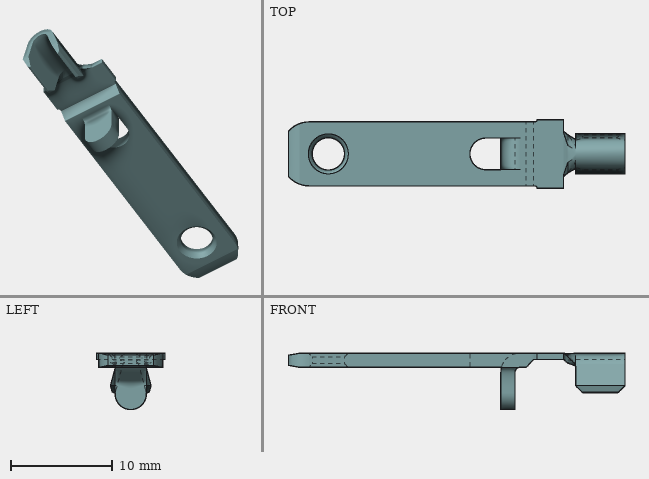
import cadquery as cq
import math


TOTAL_LENGTH = 33.27
BLADE_WIDTH = 6.35
BLADE_THICKNESS = 1.42
BLADE_BOTTOM_END = 23.5
BLADE_BEVEL_RUN = 0.72

NOSE_ARC_LENGTH = 2.06
NOSE_FLAT_WIDTH = 4.45
NOSE_BEVEL_LENGTH = 1.13
NOSE_BEVEL_DEPTH = 0.2

HOLE_X = 3.95
HOLE_DIAMETER = 3.17
COUNTERSINK_DIAMETER = 3.95

TAB_WIDTH = 3.1
TAB_FACE_X = 20.98
TAB_BOTTOM = -5.59
TAB_INNER_BEND = 0.48
WINDOW_START = 17.95

NECK_WIDTH = 6.79
NECK_END = 27.18
SHEET_THICKNESS = 0.64
STEP_X = 24.55
STEP_FILLET = 0.18

BARREL_LENGTH = 4.9
BARREL_HEIGHT = 3.95
BARREL_RADIUS = 1.5
LEG_SPREAD_ANGLE = 15.0
LEG_TIP_HEIGHT = 0.74
LEG_TIP_TAPER = 0.17
LEG_TIP_BEVEL_WIDTH = 0.22
LEG_TIP_BEVEL_HEIGHT = 0.12

TRANSITION_WIDTH = 4.5
TRANSITION_MID_X = 27.6
MID_WIDTH = 3.8
MID_TONGUE_DROP = 0.06
MID_WING_DROP = 0.36
TONGUE_ROOT_WIDTH = 4.2
TONGUE_MID_WIDTH = 1.7
TONGUE_TIP_ANGLE = 25.0

ARCH_END_ANGLE = 90 - LEG_SPREAD_ANGLE
INNER_RADIUS = BARREL_RADIUS - SHEET_THICKNESS
BARREL_START = TOTAL_LENGTH - BARREL_LENGTH


def make_blade():
    """Flat blade with a bevelled rear end, arc-cornered nose and nose bevels."""
    side = (
        cq.Workplane("XZ")
        .moveTo(0, -NOSE_BEVEL_DEPTH)
        .lineTo(NOSE_BEVEL_LENGTH, 0)
        .lineTo(STEP_X, 0)
        .lineTo(STEP_X, -SHEET_THICKNESS)
        .lineTo(BLADE_BOTTOM_END + BLADE_BEVEL_RUN, -SHEET_THICKNESS)
        .lineTo(BLADE_BOTTOM_END, -BLADE_THICKNESS)
        .lineTo(NOSE_BEVEL_LENGTH, -BLADE_THICKNESS)
        .lineTo(0, NOSE_BEVEL_DEPTH - BLADE_THICKNESS)
        .close()
        .extrude(BLADE_WIDTH / 2, both=True)
    )

    half_width = BLADE_WIDTH / 2
    half_flat = NOSE_FLAT_WIDTH / 2
    inset = half_width - half_flat
    radius = (NOSE_ARC_LENGTH**2 + inset**2) / (2 * inset)
    half_angle = math.asin(NOSE_ARC_LENGTH / radius) / 2
    mid_x = NOSE_ARC_LENGTH - radius * math.sin(half_angle)
    mid_y = half_width - radius * (1 - math.cos(half_angle))
    outline = (
        cq.Workplane("XY")
        .moveTo(0, -half_flat)
        .lineTo(0, half_flat)
        .threePointArc((mid_x, mid_y), (NOSE_ARC_LENGTH, half_width))
        .lineTo(STEP_X, half_width)
        .lineTo(STEP_X, -half_width)
        .lineTo(NOSE_ARC_LENGTH, -half_width)
        .threePointArc((mid_x, -mid_y), (0, -half_flat))
        .close()
        .extrude(-BLADE_THICKNESS)
    )
    return side.intersect(outline)


def make_mounting_hole():
    """Through hole with a 45 degree countersink at both faces."""
    hole_radius = HOLE_DIAMETER / 2
    sink_radius = COUNTERSINK_DIAMETER / 2
    sink_depth = sink_radius - hole_radius
    return (
        cq.Workplane("XZ")
        .lineTo(sink_radius, 0)
        .lineTo(hole_radius, -sink_depth)
        .lineTo(hole_radius, sink_depth - BLADE_THICKNESS)
        .lineTo(sink_radius, -BLADE_THICKNESS)
        .lineTo(0, -BLADE_THICKNESS)
        .close()
        .revolve(360, (0, 0, 0), (0, 1, 0))
        .translate((HOLE_X, 0, 0))
    )


def make_window():
    """Window with one rounded end; the tab bend fills its square end."""
    end_radius = TAB_WIDTH / 2
    window_end = TAB_FACE_X + TAB_INNER_BEND + BLADE_THICKNESS
    return (
        cq.Workplane("XY")
        .moveTo(window_end, end_radius)
        .lineTo(WINDOW_START + end_radius, end_radius)
        .threePointArc((WINDOW_START, 0), (WINDOW_START + end_radius, -end_radius))
        .lineTo(window_end, -end_radius)
        .close()
        .extrude(-BLADE_THICKNESS)
    )


def make_tab():
    """Tab bent straight down from the blade, with a fully rounded tip."""
    outer_bend = TAB_INNER_BEND + BLADE_THICKNESS
    bend_x = TAB_FACE_X + outer_bend
    rear_face_x = TAB_FACE_X + BLADE_THICKNESS
    diagonal = math.sqrt(0.5)
    bent_strip = (
        cq.Workplane("XZ")
        .moveTo(bend_x, 0)
        .threePointArc(
            (bend_x - outer_bend * diagonal, -outer_bend * (1 - diagonal)),
            (TAB_FACE_X, -outer_bend),
        )
        .lineTo(TAB_FACE_X, TAB_BOTTOM)
        .lineTo(rear_face_x, TAB_BOTTOM)
        .lineTo(rear_face_x, -outer_bend)
        .threePointArc(
            (bend_x - TAB_INNER_BEND * diagonal, -outer_bend + TAB_INNER_BEND * diagonal),
            (bend_x, -BLADE_THICKNESS),
        )
        .close()
        .extrude(TAB_WIDTH / 2, both=True)
    )
    tip_radius = TAB_WIDTH / 2
    tip_start = TAB_BOTTOM + tip_radius
    outline = (
        cq.Workplane("YZ", origin=(TAB_FACE_X, 0, 0))
        .moveTo(-tip_radius, 0)
        .lineTo(-tip_radius, tip_start)
        .threePointArc((0, TAB_BOTTOM), (tip_radius, tip_start))
        .lineTo(tip_radius, 0)
        .close()
        .extrude(outer_bend)
    )
    return bent_strip.intersect(outline)


def make_neck():
    """Thin neck, slightly wider than the blade."""
    return (
        cq.Workplane("XY")
        .box(NECK_END - STEP_X, NECK_WIDTH, SHEET_THICKNESS, centered=(False, True, False))
        .translate((STEP_X, 0, -SHEET_THICKNESS))
    )


def make_step_fillet(side):
    """Concave fillet in the corner where the neck steps out from the blade."""
    blade_y = side * BLADE_WIDTH / 2
    centre_x = STEP_X - STEP_FILLET
    centre_y = blade_y + side * STEP_FILLET
    diagonal = STEP_FILLET * math.sqrt(0.5)
    return (
        cq.Workplane("XY")
        .moveTo(centre_x, blade_y)
        .threePointArc((centre_x + diagonal, centre_y - side * diagonal), (STEP_X, centre_y))
        .lineTo(STEP_X, blade_y)
        .close()
        .extrude(-SHEET_THICKNESS)
    )


def arch_point(radius, angle):
    """Point (y, z) on the arched back at this angle from its crown, in degrees."""
    turn = math.radians(angle)
    return radius * math.sin(turn), radius * math.cos(turn) - BARREL_RADIUS


def mirrored(point):
    """Mirror a (y, z) section point to the -Y side."""
    return -point[0], point[1]


def make_barrel():
    """Crimp barrel: bent sheet open at the bottom, leg tips cut back at both ends."""
    leg_slope = math.tan(math.radians(LEG_SPREAD_ANGLE))
    hip_z = LEG_TIP_HEIGHT - BARREL_HEIGHT
    shoulder = arch_point(BARREL_RADIUS, ARCH_END_ANGLE)
    hip = (shoulder[0] + (shoulder[1] - hip_z) * leg_slope, hip_z)
    tip_bevel = (hip[0] - LEG_TIP_TAPER, LEG_TIP_BEVEL_HEIGHT - BARREL_HEIGHT)
    tip = (tip_bevel[0] - LEG_TIP_BEVEL_WIDTH, -BARREL_HEIGHT)
    inner_shoulder = arch_point(INNER_RADIUS, ARCH_END_ANGLE)
    inner_tip = (inner_shoulder[0] + (inner_shoulder[1] + BARREL_HEIGHT) * leg_slope, -BARREL_HEIGHT)
    shell = (
        cq.Workplane("YZ", origin=(BARREL_START, 0, 0))
        .moveTo(*shoulder)
        .threePointArc((0, 0), mirrored(shoulder))
        .lineTo(*mirrored(hip))
        .lineTo(*mirrored(tip_bevel))
        .lineTo(*mirrored(tip))
        .lineTo(*mirrored(inner_tip))
        .lineTo(*mirrored(inner_shoulder))
        .threePointArc((0, -SHEET_THICKNESS), inner_shoulder)
        .lineTo(*inner_tip)
        .lineTo(*tip)
        .lineTo(*tip_bevel)
        .lineTo(*hip)
        .close()
        .extrude(BARREL_LENGTH)
    )
    side = (
        cq.Workplane("XZ")
        .moveTo(BARREL_START, 0)
        .lineTo(TOTAL_LENGTH, 0)
        .lineTo(TOTAL_LENGTH, hip_z)
        .lineTo(TOTAL_LENGTH - LEG_TIP_HEIGHT, -BARREL_HEIGHT)
        .lineTo(BARREL_START + LEG_TIP_HEIGHT, -BARREL_HEIGHT)
        .lineTo(BARREL_START, hip_z)
        .close()
        .extrude(hip[0], both=True)
    )
    return shell.intersect(side)


def sheet_section(workplane, top_flat, top_edge, bottom_edge, bottom_flat):
    """Sheet section with a level middle and a straight wing on each side."""
    return (
        workplane.moveTo(*mirrored(top_flat))
        .lineTo(*top_flat)
        .lineTo(*top_edge)
        .lineTo(*bottom_edge)
        .lineTo(*bottom_flat)
        .lineTo(*mirrored(bottom_flat))
        .lineTo(*mirrored(bottom_edge))
        .lineTo(*mirrored(top_edge))
        .close()
    )


def arch_section(workplane):
    """Section of the barrel's arched back, split where the tongue's edges meet it."""
    wing_angle = (TONGUE_TIP_ANGLE + ARCH_END_ANGLE) / 2
    top_flat = arch_point(BARREL_RADIUS, TONGUE_TIP_ANGLE)
    top_wing = arch_point(BARREL_RADIUS, wing_angle)
    top_edge = arch_point(BARREL_RADIUS, ARCH_END_ANGLE)
    bottom_flat = arch_point(INNER_RADIUS, TONGUE_TIP_ANGLE)
    bottom_wing = arch_point(INNER_RADIUS, wing_angle)
    bottom_edge = arch_point(INNER_RADIUS, ARCH_END_ANGLE)
    return (
        workplane.moveTo(*mirrored(top_flat))
        .threePointArc((0, 0), top_flat)
        .threePointArc(top_wing, top_edge)
        .lineTo(*bottom_edge)
        .threePointArc(bottom_wing, bottom_flat)
        .threePointArc((0, -SHEET_THICKNESS), mirrored(bottom_flat))
        .threePointArc(mirrored(bottom_wing), mirrored(bottom_edge))
        .lineTo(*mirrored(top_edge))
        .threePointArc(mirrored(top_wing), mirrored(top_flat))
        .close()
    )


def make_transition():
    """Sheet that narrows and folds its wings down from the flat neck to the barrel."""
    flat_edge = TRANSITION_WIDTH / 2
    flat_tongue = TONGUE_ROOT_WIDTH / 2
    mid_tongue = TONGUE_MID_WIDTH / 2
    mid_edge = MID_WIDTH / 2
    neck_section = sheet_section(
        cq.Workplane("YZ", origin=(NECK_END, 0, 0)),
        (flat_tongue, 0),
        (flat_edge, 0),
        (flat_edge, -SHEET_THICKNESS),
        (flat_tongue, -SHEET_THICKNESS),
    )
    middle_section = sheet_section(
        neck_section.workplane(offset=TRANSITION_MID_X - NECK_END),
        (mid_tongue, -MID_TONGUE_DROP),
        (mid_edge, -MID_WING_DROP),
        (mid_edge, -MID_WING_DROP - SHEET_THICKNESS),
        (mid_tongue, -MID_TONGUE_DROP - SHEET_THICKNESS),
    )
    end_section = arch_section(middle_section.workplane(offset=BARREL_START - TRANSITION_MID_X))
    return end_section.loft(ruled=True)


result = make_blade().cut(make_mounting_hole()).cut(make_window())
result = result.union(make_tab()).union(make_neck())
for side in (-1, 1):
    result = result.union(make_step_fillet(side))
result = result.union(make_transition()).union(make_barrel())